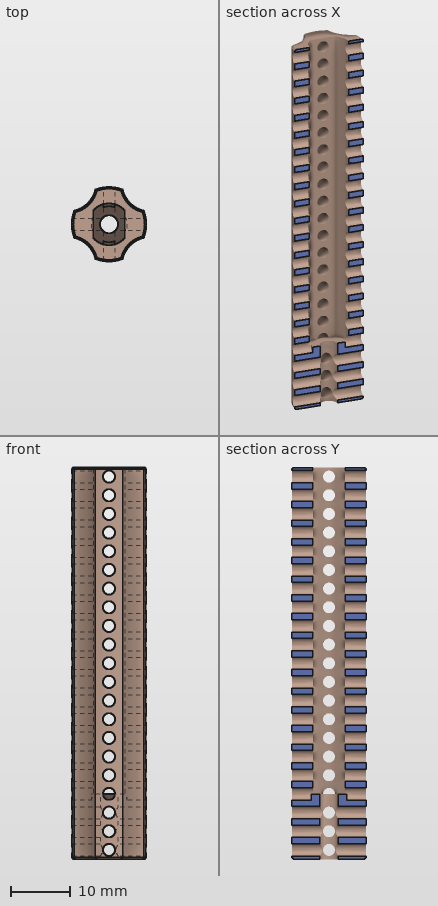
import cadquery as cq
import math

hole_pitch = 3.125
hole_count = 21
length = hole_count * hole_pitch
outer_radius = 6.25
end_chamfer = 0.3

lobe_count = 4
lobe_half_width = 2.27
flute_root_radius = 5.0

axle_bore_diameter = 3.0
pocket_radius = 3.5
pocket_flat_width = 5.35
holes_below_floor = 3
pocket_floor = (holes_below_floor + 0.5) * hole_pitch

cross_hole_diameter = 2.0
floor_core_radius = 3.0


def polar(radius, angle):
    return radius * math.cos(angle), radius * math.sin(angle)


def make_body():
    """Fluted bar with chamfered ends."""
    lobe_pitch = 2 * math.pi / lobe_count
    half_lobe_angle = math.asin(lobe_half_width / outer_radius)
    outline = cq.Workplane("XY").moveTo(*polar(outer_radius, -half_lobe_angle))
    for lobe in range(lobe_count):
        middle = lobe * lobe_pitch
        lobe_end = middle + half_lobe_angle
        flute_middle = middle + lobe_pitch / 2
        next_lobe_start = middle + lobe_pitch - half_lobe_angle
        outline = outline.threePointArc(polar(outer_radius, middle), polar(outer_radius, lobe_end))
        outline = outline.threePointArc(
            polar(flute_root_radius, flute_middle), polar(outer_radius, next_lobe_start)
        )
    bar = outline.close().extrude(length)
    return bar.faces("<Z or >Z").chamfer(end_chamfer)


def make_pocket():
    """Round pocket with two flats facing along X, open at the top."""
    depth = length - pocket_floor
    base = cq.Workplane("XY").workplane(offset=pocket_floor)
    cylinder = base.circle(pocket_radius).extrude(depth)
    flats = base.rect(pocket_flat_width, 2 * pocket_radius).extrude(depth)
    return cylinder.intersect(flats)


def make_axle_bore():
    return cq.Workplane("XY").circle(axle_bore_diameter / 2).extrude(pocket_floor)


def make_floor_core():
    """Round core below the pocket floor that the cross holes at the floor do not enter."""
    return cq.Workplane("XY").circle(floor_core_radius).extrude(pocket_floor)


def cross_hole_pair(height):
    """Two crossing cylinders, along X and along Y, at the given height."""
    radius = cross_hole_diameter / 2
    along_x = cq.Workplane("YZ", origin=(0, 0, height)).circle(radius).extrude(outer_radius, both=True)
    along_y = cq.Workplane("XZ", origin=(0, 0, height)).circle(radius).extrude(outer_radius, both=True)
    return along_x.union(along_y)


result = make_body().cut(make_pocket()).cut(make_axle_bore())

for index in range(hole_count):
    cutter = cross_hole_pair((index + 0.5) * hole_pitch)
    if index == holes_below_floor:
        cutter = cutter.cut(make_floor_core())
    result = result.cut(cutter)